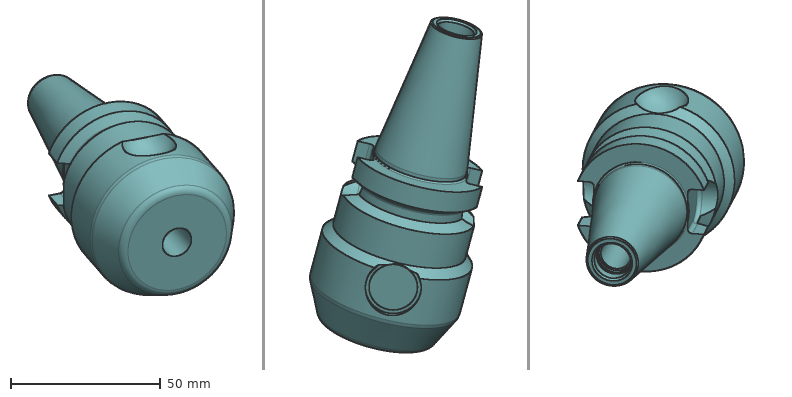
import cadquery as cq
import math


total_length = 111.4
head_diameter = 52.0
head_radius = head_diameter / 2

taper_length = 48.3
taper_large_radius = 15.9
taper_slope = 7 / 48
taper_small_radius = taper_large_radius - taper_length * taper_slope
rear_chamfer_length = 0.3
rear_chamfer_height = 0.6
neck_fillet = 0.6

flange_diameter = 46.0
flange_radius = flange_diameter / 2
flange_rear = 50.2
groove_rear = 57.7
groove_front = 65.7
groove_floor_radius = 19.0
groove_side_angle = 30.0
groove_fillet = 0.9

head_cone_start = 78.2
nose_start = 98.5
nose_face_radius = 19.7
shoulder_fillet = 3.0
nose_fillet = 3.0

slot_width = 15.9
slot_floor_distance = 16.0
slot_arc_center = 59.2
slot_floor_fillet = 1.5

screw_position = 86.7
screw_radius = 8.1
screw_length = 16.0
screw_seat_radius = 9.4
screw_seat_distance = 24.0

dimple_radius = 10.0
dimple_center_height = 29.0

mouth_radius = 6.9
mouth_depth = 0.8
entry_radius = 6.2
entry_depth = 4.8
middle_radius = 5.9
middle_start = 5.3
middle_end = 7.1
through_radius = 5.2


def ring_edges(body, x, radius):
    """Circular edges of the given radius about the X axis, at position x."""
    tolerance = 0.06
    corner_low = (x - tolerance, -radius - tolerance, -radius - tolerance)
    corner_high = (x + tolerance, radius + tolerance, radius + tolerance)
    edges = body.edges(cq.selectors.BoxSelector(corner_low, corner_high, boundingbox=True))
    return edges.filter(lambda e: e.geomType() == "CIRCLE" and abs(e.radius() - radius) < tolerance)


def turned_blank():
    groove_depth = flange_radius - groove_floor_radius
    groove_side_length = groove_depth * math.tan(math.radians(groove_side_angle))
    groove_floor_rear = groove_rear + groove_side_length
    groove_floor_front = groove_front - groove_side_length
    head_cone_end = head_cone_start + head_radius - flange_radius
    outline = [
        (0, 0),
        (0, taper_small_radius - rear_chamfer_height),
        (rear_chamfer_length, taper_small_radius),
        (taper_length, taper_large_radius),
        (flange_rear, taper_large_radius),
        (flange_rear, flange_radius),
        (groove_rear, flange_radius),
        (groove_floor_rear, groove_floor_radius),
        (groove_floor_front, groove_floor_radius),
        (groove_front, flange_radius),
        (head_cone_start, flange_radius),
        (head_cone_end, head_radius),
        (nose_start, head_radius),
        (total_length, nose_face_radius),
        (total_length, 0),
    ]
    blank = cq.Workplane("XY").polyline(outline).close().revolve(360, (0, 0, 0), (1, 0, 0))
    blank = ring_edges(blank, flange_rear, taper_large_radius).fillet(neck_fillet)
    blank = ring_edges(blank, groove_floor_rear, groove_floor_radius).fillet(groove_fillet)
    blank = ring_edges(blank, nose_start, head_radius).fillet(shoulder_fillet)
    return ring_edges(blank, total_length, nose_face_radius).fillet(nose_fillet)


def drive_slot(side):
    """Cutter for one round-ended slot; side is +1 or -1 along Y."""
    half_width = slot_width / 2
    cutter = (
        cq.Workplane("XZ", origin=(0, side * slot_floor_distance, 0))
        .moveTo(flange_rear, -half_width)
        .lineTo(slot_arc_center, -half_width)
        .threePointArc((slot_arc_center + half_width, 0), (slot_arc_center, half_width))
        .lineTo(flange_rear, half_width)
        .close()
        .extrude(-side * head_radius)
    )
    floor_edges = cutter.faces("<Y" if side > 0 else ">Y").edges("not <X")
    return floor_edges.fillet(slot_floor_fillet)


def dimple():
    center = (screw_position, 0, dimple_center_height)
    return cq.Workplane("XY").sphere(dimple_radius).translate(center)


def upright_cylinder(radius, bottom, top):
    """Cylinder on the screw axis, between two heights."""
    return cq.Workplane("XY", origin=(screw_position, 0, bottom)).circle(radius).extrude(top - bottom)


def make_clamping_screw():
    return upright_cylinder(screw_radius, -screw_seat_distance, screw_length - screw_seat_distance)


def bore_cutter():
    outline = [
        (0, 0),
        (0, mouth_radius),
        (mouth_depth, entry_radius),
        (entry_depth, entry_radius),
        (middle_start, middle_radius),
        (middle_end, middle_radius),
        (middle_end, through_radius),
        (total_length, through_radius),
        (total_length, 0),
    ]
    return cq.Workplane("XY").polyline(outline).close().revolve(360, (0, 0, 0), (1, 0, 0))


def make_holder():
    screw_seat = upright_cylinder(screw_seat_radius, -head_radius, -screw_seat_distance)
    body = turned_blank()
    for side in (1, -1):
        body = body.cut(drive_slot(side))
    return body.cut(dimple()).cut(screw_seat).cut(make_clamping_screw()).cut(bore_cutter())


holder = make_holder()
clamping_screw = make_clamping_screw()

result = cq.Compound.makeCompound([holder.val(), clamping_screw.val()])